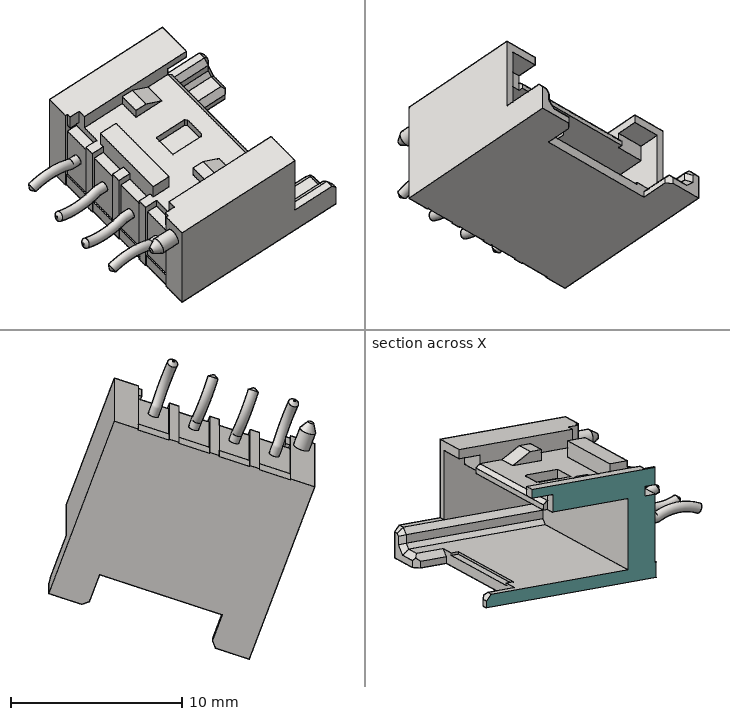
import cadquery as cq
import math

width = 12.4
height = 6.8
housing_length = 11.5
half_width = width / 2

deck_half_width = 3.95
deck_height = 5.7
deck_length = 7.32
deck_bevel_length = 0.27
deck_bevel_drop = 0.22
block_length = 8.44
prong_height = 1.97
prong_lead_length = 0.37
prong_lead_drop = 0.31
floor_length = 9.39
prong_inner_x = 3.79
prong_bevel = 0.39
edge_tolerance = 0.01

floor_height = 0.8
cavity_start = 2.0
cavity_roof = 5.15
cavity_half_width = 5.73
rim_slope = 0.36
key_wall_x = cavity_half_width - rim_slope
floor_slope = 0.28
side_slot_start = deck_length - deck_bevel_length
side_slot_roof = 6.23
lip_recess_width = 6.45
lip_recess_length = 0.48
lip_recess_depth = 0.15

window_width = 1.55
window_start = 3.65
window_end = 5.88
window_bevel = 0.13
ramp_width = 1.28
ramp_flat_end = 4.39
ramp_end = 5.57
ramp_height = 0.67

contact_count = 4
pitch = 2.5
bay_half_width = 4.7
bay_depth = 0.15
ledge_depth = 0.06
ledge_height = 0.95
bay_top = 5.15
pocket_depth = 0.82
pocket_half_width = 4.45
rib_width = 0.6
rear_block_width = 4.95
rear_block_height = 6.7

peg_x = 5.37
peg_z = 5.57
peg_radius = 0.5
peg_tip_radius = 0.18
peg_shank = 1.1
peg_length = 1.64

tail_radius = 0.31
tail_z = 3.39
tail_bend_y = -0.4
tail_peak_y = -1.93
tail_end_y = -3.25
tail_rise = 0.37
tail_tip_y = housing_length - 14.93
tail_tip_radius = 0.06


def box(x0, x1, y0, y1, z0, z1):
    """Axis-aligned block between two opposite corners."""
    return cq.Workplane("XY").box(x1 - x0, y1 - y0, z1 - z0, centered=False).translate((x0, y0, z0))


def centred_box(half_x, y0, y1, z0, z1):
    """Block that is symmetric about X = 0."""
    return box(-half_x, half_x, y0, y1, z0, z1)


def both_sides(solid):
    """A solid together with its mirror image about X = 0."""
    return solid.union(solid.mirror("YZ"))


def housing_shell():
    """Stepped outer form, hollowed from the mating end."""
    side_outline = [
        (0, 0),
        (housing_length, 0),
        (housing_length, prong_height),
        (block_length, prong_height),
        (block_length, height),
        (0, height),
    ]
    shell = cq.Workplane("YZ").polyline(side_outline).close().extrude(half_width, both=True)
    shell = shell.cut(centred_box(deck_half_width, 0, housing_length, deck_height, height))
    shell = shell.cut(centred_box(deck_half_width, deck_length, housing_length, floor_height, height))
    shell = shell.cut(centred_box(prong_inner_x, floor_length, housing_length, 0, height))

    right_side = [
        (key_wall_x - floor_slope, floor_height),
        (key_wall_x, floor_height + floor_slope),
        (key_wall_x, prong_height - rim_slope),
        (cavity_half_width, prong_height),
        (cavity_half_width, cavity_roof),
    ]
    left_side = [(-x, z) for x, z in reversed(right_side)]
    cavity = (
        cq.Workplane("XZ", origin=(0, cavity_start, 0))
        .polyline(right_side + left_side)
        .close()
        .extrude(cavity_start - housing_length)
    )
    shell = shell.cut(cavity)

    side_slot = box(
        deck_half_width, cavity_half_width, side_slot_start, housing_length, prong_height, side_slot_roof
    )
    return shell.cut(both_sides(side_slot))


def bevel_mating_end(shell):
    """Bevel the rim of the prongs' end faces, then the prongs' inner top edges."""

    def is_lead_edge(edge):
        """True for end-face edges that are not on the underside or the outer sides."""
        middle = edge.Center()
        return middle.z > edge_tolerance and abs(middle.x) < half_width - edge_tolerance

    end_edges = shell.faces(">Y").edges().filter(is_lead_edge)
    shell = end_edges.chamfer(prong_lead_length, prong_lead_drop)

    floor_edge = (
        cq.Workplane("XZ", origin=(0, floor_length, 0))
        .moveTo(prong_inner_x, floor_height)
        .lineTo(prong_inner_x + prong_bevel, floor_height)
        .lineTo(prong_inner_x, floor_height - prong_bevel)
        .close()
        .extrude(floor_length - housing_length)
    )
    return shell.cut(both_sides(floor_edge))


def deck_details(housing):
    """Bevelled deck edge, latch window, latch ramps and the recess in the floor's lip."""
    deck_edge = (
        cq.Workplane("YZ")
        .moveTo(deck_length, deck_height)
        .lineTo(deck_length - deck_bevel_length, deck_height)
        .lineTo(deck_length, deck_height - deck_bevel_drop)
        .close()
        .extrude(deck_half_width, both=True)
    )
    housing = housing.cut(deck_edge)

    window = centred_box(window_width / 2, window_start, window_end, cavity_roof, deck_height)
    housing = housing.cut(window.edges("|Z and >Y").chamfer(window_bevel))

    ramp = (
        cq.Workplane("YZ", origin=(deck_half_width - ramp_width, 0, 0))
        .moveTo(window_start, deck_height)
        .lineTo(window_start, deck_height + ramp_height)
        .lineTo(ramp_flat_end, deck_height + ramp_height)
        .lineTo(ramp_end, deck_height)
        .close()
        .extrude(ramp_width)
    )
    housing = housing.union(both_sides(ramp))

    lip_recess = centred_box(
        lip_recess_width / 2,
        floor_length - lip_recess_length,
        floor_length,
        floor_height - lip_recess_depth,
        floor_height,
    )
    return housing.cut(lip_recess)


def rear_wall_details(housing):
    """Recessed bays with a low ledge, top pockets, ribs and the raised rear block."""
    housing = housing.cut(centred_box(bay_half_width, 0, ledge_depth, 0, height))
    housing = housing.cut(centred_box(bay_half_width, 0, bay_depth, ledge_height, height))
    housing = housing.cut(centred_box(bay_half_width, 0, pocket_depth, bay_top, deck_height))
    housing = housing.cut(centred_box(pocket_half_width, 0, pocket_depth, deck_height, height))
    for index in range(contact_count - 1):
        rib_x = (index - (contact_count - 2) / 2) * pitch
        rib = box(rib_x - rib_width / 2, rib_x + rib_width / 2, 0, pocket_depth, 0, deck_height)
        housing = housing.union(rib)
    rear_block = centred_box(
        rear_block_width / 2, pocket_depth, cavity_start, cavity_roof, rear_block_height
    )
    return housing.union(rear_block)


def locating_peg():
    """Round peg with a blunt conical tip, rooted in the right side block."""
    return (
        cq.Workplane("XY", origin=(peg_x, 0, peg_z))
        .moveTo(0, bay_depth)
        .lineTo(peg_radius, bay_depth)
        .lineTo(peg_radius, -peg_shank)
        .lineTo(peg_tip_radius, -peg_length)
        .lineTo(0, -peg_length)
        .close()
        .revolve(360, (0, 0, 0), (0, 1, 0))
    )


def contact_tail(x, direction):
    """Tail bowed upward (direction 1) or downward (direction -1), ending in a blunt cone."""
    bow_radius = ((tail_bend_y - tail_peak_y) ** 2 + tail_rise**2) / (2 * tail_rise)
    bend_angle = math.asin((tail_bend_y - tail_peak_y) / bow_radius)
    end_angle = math.asin((tail_peak_y - tail_end_y) / bow_radius)
    end_rise = tail_rise - bow_radius * (1 - math.cos(end_angle))

    shank_start = cavity_start / 2
    shank = (
        cq.Workplane("XZ", origin=(x, shank_start, tail_z))
        .circle(tail_radius)
        .extrude(shank_start - tail_bend_y)
    )
    elbow = cq.Workplane("XY", origin=(x, tail_bend_y, tail_z)).sphere(tail_radius)

    outward = cq.Vector(0, -math.cos(end_angle), -direction * math.sin(end_angle))
    end_point = cq.Vector(x, tail_end_y, tail_z + direction * end_rise)
    end_plane = cq.Plane(origin=end_point, xDir=(1, 0, 0), normal=outward)
    centre_offset = -bow_radius * direction
    bow = (
        cq.Workplane(end_plane)
        .circle(tail_radius)
        .revolve(
            math.degrees(bend_angle + end_angle), (0, centre_offset, 0), (-direction, centre_offset, 0)
        )
    )
    tip_length = (tail_end_y - tail_tip_y - tail_tip_radius * math.sin(end_angle)) / math.cos(end_angle)
    tip = cq.Solid.makeCone(tail_radius, tail_tip_radius, tip_length, end_point, outward)
    return shank.union(elbow).union(bow).union(cq.Workplane(tip))


result = bevel_mating_end(housing_shell())
result = deck_details(result)
result = rear_wall_details(result)
result = result.union(locating_peg())
for index in range(contact_count):
    tail_x = (index - (contact_count - 1) / 2) * pitch
    bow_direction = 1 if index in (0, contact_count - 1) else -1
    result = result.union(contact_tail(tail_x, bow_direction))